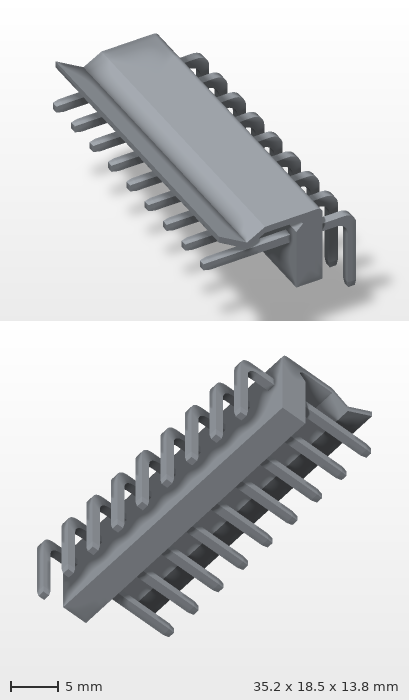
import cadquery as cq
import math


PIN_COUNT = 9
PITCH = 3.96
END_MARGIN = 1.78
HOUSING_LENGTH = (PIN_COUNT - 1) * PITCH + 2 * END_MARGIN

WALL_THICKNESS = 3.2
HOUSING_HEIGHT = 9.5
TOP_EDGE_RADIUS = 0.7

ARM_THICKNESS = 0.8
ARM_REACH = 9.4
RAMP_START = 3.8
VALLEY_REACH = 6.0
RAMP_ANGLE = math.radians(30)
LIP_RISE = 0.79
RELIEF_DEPTH = 0.8
RELIEF_DROP = 0.5
RELIEF_RADIUS = 0.9

PIN_WIDTH = 1.02
PIN_TIP_WIDTH = 0.8
PIN_TIP_LENGTH = 0.75
PIN_AXIS_HEIGHT = 5.7
PIN_FRONT_REACH = 10.5
PIN_OVERALL_DEPTH = 18.5
PIN_DROP = 3.5
PIN_BEND_RADIUS = 1.45


def make_housing():
    """Extrude the wall and lock-arm profile along the full length in X."""
    arm_underside = HOUSING_HEIGHT - ARM_THICKNESS
    valley_height = HOUSING_HEIGHT - (VALLEY_REACH - RAMP_START) * math.tan(RAMP_ANGLE)
    lip_height = HOUSING_HEIGHT + LIP_RISE
    relief_height = arm_underside - RELIEF_DROP
    relief_run = math.sqrt(RELIEF_RADIUS**2 - (RELIEF_RADIUS - RELIEF_DROP) ** 2)
    profile = (
        cq.Workplane("YZ")
        .moveTo(WALL_THICKNESS, 0)
        .lineTo(WALL_THICKNESS, HOUSING_HEIGHT - TOP_EDGE_RADIUS)
        .radiusArc((WALL_THICKNESS - TOP_EDGE_RADIUS, HOUSING_HEIGHT), -TOP_EDGE_RADIUS)
        .lineTo(-RAMP_START, HOUSING_HEIGHT)
        .lineTo(-VALLEY_REACH, valley_height)
        .lineTo(-ARM_REACH, lip_height)
        .lineTo(-ARM_REACH, lip_height - ARM_THICKNESS)
        .lineTo(-VALLEY_REACH, valley_height - ARM_THICKNESS)
        .lineTo(-RAMP_START, arm_underside)
        .lineTo(RELIEF_DEPTH - relief_run, arm_underside)
        .radiusArc((RELIEF_DEPTH, relief_height), RELIEF_RADIUS)
        .lineTo(0, relief_height - RELIEF_DEPTH)
        .lineTo(0, 0)
        .close()
    )
    return profile.extrude(HOUSING_LENGTH / 2, both=True)


def make_tip(base_plane):
    """Tapered square tip growing along the normal of the given plane."""
    return (
        cq.Workplane(base_plane)
        .rect(PIN_WIDTH, PIN_WIDTH)
        .workplane(offset=PIN_TIP_LENGTH)
        .rect(PIN_TIP_WIDTH, PIN_TIP_WIDTH)
        .loft(ruled=True)
    )


def make_pin():
    """One L-shaped square pin centred on X = 0, tapered at both ends."""
    half_width = PIN_WIDTH / 2
    top = PIN_AXIS_HEIGHT + half_width
    front = -PIN_FRONT_REACH + PIN_TIP_LENGTH
    rear = PIN_OVERALL_DEPTH - PIN_FRONT_REACH
    bottom = -PIN_DROP + PIN_TIP_LENGTH
    underside = top - PIN_WIDTH
    inner_rear = rear - PIN_WIDTH
    shank = (
        cq.Workplane("YZ")
        .moveTo(front, top)
        .lineTo(rear - PIN_BEND_RADIUS, top)
        .radiusArc((rear, top - PIN_BEND_RADIUS), PIN_BEND_RADIUS)
        .lineTo(rear, bottom)
        .lineTo(inner_rear, bottom)
        .lineTo(inner_rear, underside - PIN_BEND_RADIUS)
        .radiusArc((inner_rear - PIN_BEND_RADIUS, underside), -PIN_BEND_RADIUS)
        .lineTo(front, underside)
        .close()
        .extrude(half_width, both=True)
    )
    front_plane = cq.Plane(origin=(0, front, PIN_AXIS_HEIGHT), xDir=(1, 0, 0), normal=(0, -1, 0))
    lower_plane = cq.Plane(origin=(0, rear - half_width, bottom), xDir=(1, 0, 0), normal=(0, 0, -1))
    return shank.union(make_tip(front_plane)).union(make_tip(lower_plane))


result = make_housing()
pin = make_pin()
first_pin_x = -(PIN_COUNT - 1) * PITCH / 2
for index in range(PIN_COUNT):
    result = result.union(pin.translate((first_pin_x + index * PITCH, 0, 0)))